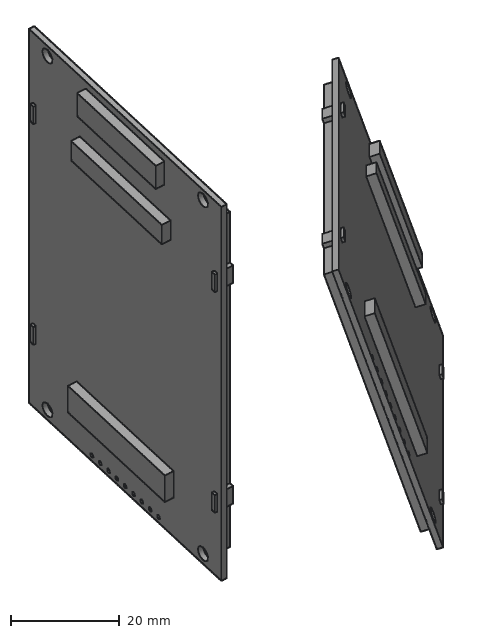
import cadquery as cq

BOARD_WIDTH = 59.2
BOARD_HEIGHT = 94.8
BOARD_THICKNESS = 1.2
HALF_WIDTH = BOARD_WIDTH / 2
HALF_HEIGHT = BOARD_HEIGHT / 2

PANEL_SIDE_MARGIN = 2.2
PANEL_END_MARGIN = 4.9
PANEL_THICKNESS = 2.4

MOUNT_DIAMETER = 3.0
MOUNT_SIDE_INSET = 5.7
MOUNT_END_INSET = 2.6

PIN_DIAMETER = 0.89
PIN_COUNT = 9
PIN_PITCH = 2.6
PIN_EDGE_INSET = 1.4

BLOCK_DEPTH = 2.0
BLOCKS = [
    (24.2, 5.9, 42.7),
    (27.9, 4.9, 29.6),
    (29.8, 6.7, -34.1),
]

CLIP_WIDTH = 0.95
CLIP_HEIGHT = 4.5
CLIP_FRONT_DEPTH = 0.6
CLIP_CENTRES_Z = (27.4, -28.5)


def box_between(width, height, y_front, y_back, x=0, z=0):
    """Box centred at (x, z), reaching from y_front to y_back."""
    depth = y_back - y_front
    return cq.Workplane("XY").box(width, depth, height).translate((x, y_front + depth / 2, z))


def board_holes(points, diameter):
    """Cylinders that cut through the board at the given (x, z) points."""
    return (
        cq.Workplane("XZ", origin=(0, BOARD_THICKNESS, 0))
        .pushPoints(points)
        .circle(diameter / 2)
        .extrude(BOARD_THICKNESS)
    )


result = box_between(BOARD_WIDTH, BOARD_HEIGHT, 0, BOARD_THICKNESS)

mount_x = HALF_WIDTH - MOUNT_SIDE_INSET
mount_z = HALF_HEIGHT - MOUNT_END_INSET
mount_points = [(x, z) for x in (-mount_x, mount_x) for z in (-mount_z, mount_z)]
result = result.cut(board_holes(mount_points, MOUNT_DIAMETER))

first_pin_x = -PIN_PITCH * (PIN_COUNT - 1) / 2
pin_z = -HALF_HEIGHT + PIN_EDGE_INSET
pin_points = [(first_pin_x + i * PIN_PITCH, pin_z) for i in range(PIN_COUNT)]
result = result.cut(board_holes(pin_points, PIN_DIAMETER))

panel_width = BOARD_WIDTH - 2 * PANEL_SIDE_MARGIN
panel_height = BOARD_HEIGHT - 2 * PANEL_END_MARGIN
panel_back = BOARD_THICKNESS + PANEL_THICKNESS
result = result.union(box_between(panel_width, panel_height, BOARD_THICKNESS, panel_back))

for width, height, centre_z in BLOCKS:
    result = result.union(box_between(width, height, -BLOCK_DEPTH, 0, z=centre_z))

clip_x = (panel_width + CLIP_WIDTH) / 2
for x in (-clip_x, clip_x):
    for z in CLIP_CENTRES_Z:
        result = result.union(box_between(CLIP_WIDTH, CLIP_HEIGHT, -CLIP_FRONT_DEPTH, panel_back, x, z))